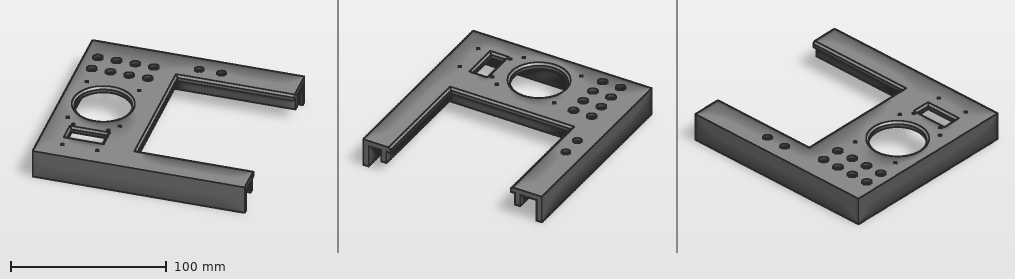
import cadquery as cq

length = 142.5
width = 132.2
height = 20.0

thickness = 4.0
plate_bottom = height - thickness

bevel = 1.5

bay_left = 64.3
bay_front = 20.4
bay_back = 109.2
lip_overhang = 3.1
bay_rib_bottom = 7.1

window_x = 28.0
window_y = 64.7
window_diameter = 37.5
window_screw_pitch_x = 35.0
window_screw_pitch_y = 42.5

slot_x = 28.1
slot_y = 27.8
slot_length = 23.8
slot_width = 10.5
slot_screw_x = 28.0
slot_screw_y = 24.8
slot_screw_pitch_x = 23.5
slot_screw_pitch_y = 24.0
screw_diameter = 2.0

button_diameter = 6.5
button_columns = 4
button_rows = 2
button_x = 28.0
button_y = 107.7
button_pitch_x = 12.5
button_pitch_y = 13.4

arm_hole_diameter = 6.0
arm_hole_x = 83.0
arm_hole_y = 120.3
arm_hole_pitch = 15.0


def box(x_min, x_max, y_min, y_max, z_min, z_max):
    """Block given by its limits along the three axes."""
    size = (x_max - x_min, y_max - y_min, z_max - z_min)
    return cq.Workplane("XY").box(*size, centered=False).translate((x_min, y_min, z_min))


def shell():
    """Top plate with walls on the left, front and back, open below and to the right."""
    cavity = box(thickness, length, thickness, width - thickness, 0, plate_bottom)
    return box(0, length, 0, width, 0, height).cut(cavity)


def bay_rib():
    """Rib hanging from the plate, set back under the lip around the bay."""
    inner_left = bay_left - lip_overhang
    inner_front = bay_front - lip_overhang
    inner_back = bay_back + lip_overhang
    outer_left = inner_left - thickness
    outer_front = inner_front - thickness
    outer_back = inner_back + thickness
    outer = box(outer_left, length, outer_front, outer_back, bay_rib_bottom, plate_bottom)
    inner = box(inner_left, length, inner_front, inner_back, bay_rib_bottom, plate_bottom)
    return outer.cut(inner)


def work_plane(x, y, z):
    """Horizontal work plane centred at the given point."""
    return cq.Workplane("XY", origin=(x, y, z))


def bevelled_circle(x, y, diameter):
    """Cutter for a round opening with a bevelled rim."""
    straight = work_plane(x, y, plate_bottom).circle(diameter / 2).extrude(thickness)
    flare = work_plane(x, y, height).circle(diameter / 2 + bevel).extrude(-bevel, taper=45)
    return straight.union(flare)


def bevelled_rectangle(x, y, x_size, y_size):
    """Cutter for a rectangular opening with a bevelled rim and sharp corners."""
    straight = work_plane(x, y, plate_bottom).rect(x_size, y_size).extrude(thickness)
    bevel_start = work_plane(x, y, height - bevel).rect(x_size, y_size)
    bevel_end = bevel_start.workplane(offset=bevel).rect(x_size + 2 * bevel, y_size + 2 * bevel)
    return straight.union(bevel_end.loft(ruled=True))


def bay():
    """Cutter for the bay, reaching past the right end so that only three sides are bevelled."""
    bay_right = length + bevel
    x_centre = (bay_left + bay_right) / 2
    y_centre = (bay_front + bay_back) / 2
    return bevelled_rectangle(x_centre, y_centre, bay_right - bay_left, bay_back - bay_front)


def hole_grid(x, y, columns, rows, pitch_x, pitch_y, diameter):
    """Cutter for a centred grid of round holes through the plate."""
    points = work_plane(x, y, plate_bottom).rarray(pitch_x, pitch_y, columns, rows)
    return points.circle(diameter / 2).extrude(thickness)


def corner_screws(x, y, pitch_x, pitch_y):
    """Cutter for four screw holes at the corners of a centred rectangle."""
    return hole_grid(x, y, 2, 2, pitch_x, pitch_y, screw_diameter)


def buttons():
    """Cutter for the grid of button holes."""
    return hole_grid(
        button_x, button_y, button_columns, button_rows, button_pitch_x, button_pitch_y, button_diameter
    )


def arm_holes():
    """Cutter for the two holes side by side in the back arm."""
    spots = [(-arm_hole_pitch / 2, 0), (arm_hole_pitch / 2, 0)]
    points = work_plane(arm_hole_x, arm_hole_y, plate_bottom).pushPoints(spots)
    return points.circle(arm_hole_diameter / 2).extrude(thickness)


openings = [
    bay(),
    bevelled_circle(window_x, window_y, window_diameter),
    corner_screws(window_x, window_y, window_screw_pitch_x, window_screw_pitch_y),
    bevelled_rectangle(slot_x, slot_y, slot_length, slot_width),
    corner_screws(slot_screw_x, slot_screw_y, slot_screw_pitch_x, slot_screw_pitch_y),
    buttons(),
    arm_holes(),
]

result = shell().union(bay_rib())
for opening in openings:
    result = result.cut(opening)